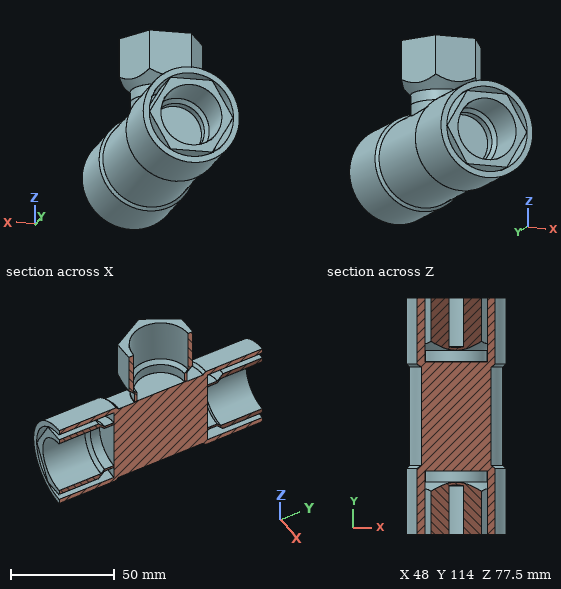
import cadquery as cq
import math

run_length = 114.0
run_diameter = 45.0
socket_diameter = 48.0
socket_bore = 42.0
socket_length = 31.9
overall_height = 77.5

nut_length = 30.7
nut_across_flats = 36.0
nut_across_corners = nut_across_flats / math.cos(math.pi / 6)
collar_diameter = 29.5
collar_length = 5.2
nut_bore = 30.3
collar_bore = 26.5

branch_height = overall_height - socket_diameter / 2 - nut_length
socket_floor = run_length / 2 - nut_length


def make_tee():
    half_length = run_length / 2
    run_radius = run_diameter / 2
    socket_radius = socket_diameter / 2
    taper_start = half_length - socket_length
    taper_end = taper_start - (socket_radius - run_radius)
    tee = (
        cq.Workplane("XY")
        .moveTo(0, -half_length)
        .lineTo(socket_radius, -half_length)
        .lineTo(socket_radius, -taper_start)
        .lineTo(run_radius, -taper_end)
        .lineTo(run_radius, taper_end)
        .lineTo(socket_radius, taper_start)
        .lineTo(socket_radius, half_length)
        .lineTo(0, half_length)
        .close()
        .revolve(360, (0, 0, 0), (0, 1, 0))
    )
    branch = cq.Workplane("XY").circle(collar_diameter / 2).extrude(branch_height)
    tee = tee.union(branch)
    for side in (-1, 1):
        end_plane = cq.Plane(origin=(0, side * socket_floor, 0), xDir=(1, 0, 0), normal=(0, side, 0))
        recess = cq.Workplane(end_plane).circle(socket_bore / 2).extrude(nut_length)
        tee = tee.cut(recess)
    return tee


def make_nut(origin, axis):
    """Nut whose collar end sits at origin and whose open hex end points along axis."""
    seat = cq.Plane(origin=origin, xDir=(1, 0, 0), normal=axis)
    prism = cq.Workplane("XY").polygon(6, nut_across_corners).extrude(nut_length)

    corner_radius = nut_across_corners / 2
    collar_radius = collar_diameter / 2
    cone_top = collar_length + corner_radius - collar_radius
    envelope = (
        cq.Workplane("XZ")
        .lineTo(collar_radius, 0)
        .lineTo(collar_radius, collar_length)
        .lineTo(corner_radius, cone_top)
        .lineTo(corner_radius, nut_length)
        .lineTo(0, nut_length)
        .close()
        .revolve(360, (0, 0, 0), (0, 1, 0))
    )

    bore_bottom = collar_length + (nut_bore - collar_bore) / 2
    bore = (
        cq.Workplane("XZ")
        .lineTo(collar_bore / 2, 0)
        .lineTo(collar_bore / 2, collar_length)
        .lineTo(nut_bore / 2, bore_bottom)
        .lineTo(nut_bore / 2, nut_length)
        .lineTo(0, nut_length)
        .close()
        .revolve(360, (0, 0, 0), (0, 1, 0))
    )
    nut = prism.intersect(envelope).cut(bore)
    return nut.val().moved(cq.Location(seat))


tee = make_tee()

nut_seats = [
    ((0, -socket_floor, 0), (0, -1, 0)),
    ((0, socket_floor, 0), (0, 1, 0)),
    ((0, 0, branch_height), (0, 0, 1)),
]
nuts = []
for origin, axis in nut_seats:
    nuts.append(make_nut(origin, axis))

result = cq.Compound.makeCompound([tee.val(), *nuts])